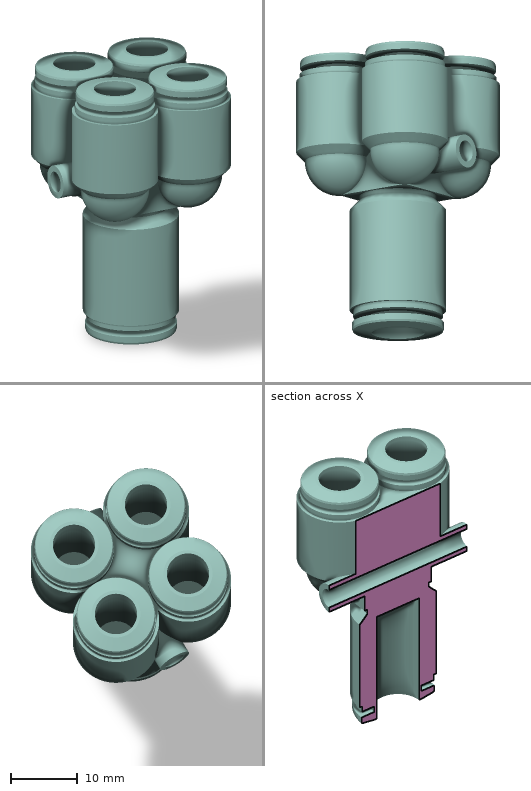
import cadquery as cq

total_height = 42.0
port_pitch = 12.5
port_offset = port_pitch / 2
block_bottom = 21.0

rim_height = 0.35
bevel_height = 0.65
collar_height = 1.55
ring_height = 2.48
body_end_height = 3.5
bevel_width = 0.13

small_bore_dia = 6.35
small_neck_dia = 7.35
small_collar_dia = 11.8
small_ring_dia = 12.0
small_body_dia = 12.98
dome_radius = 5.2
dome_center = block_bottom + dome_radius
small_body_bottom = dome_center + small_body_dia / 2 - dome_radius

large_bore_dia = 7.95
large_neck_dia = 8.95
large_collar_dia = 13.8
large_ring_dia = 13.5
large_body_dia = 14.5
throat_dia = 11.6
throat_height = 0.67
large_cone_top = block_bottom - throat_height
large_body_top = large_cone_top - (large_body_dia - throat_dia) / 2

eye_dia = 5.0
eye_hole_dia = 3.2
eye_length = 26.0


def tube_end(bore_dia, neck_dia, collar_dia, ring_dia, body_dia):
    """Radius and height points of a release collar end, from its face to the body."""
    collar_radius = collar_dia / 2
    return [
        (bore_dia / 2, 0),
        (neck_dia / 2, 0),
        (collar_radius - bevel_width, rim_height),
        (collar_radius, bevel_height),
        (collar_radius, collar_height),
        (neck_dia / 2, collar_height),
        (neck_dia / 2, ring_height),
        (ring_dia / 2, ring_height),
        (ring_dia / 2, body_end_height),
        (body_dia / 2, body_end_height),
    ]


def revolve_about_z(profile):
    return profile.close().revolve(360, (0, 0, 0), (0, 1, 0))


def large_port():
    end = tube_end(large_bore_dia, large_neck_dia, large_collar_dia, large_ring_dia, large_body_dia)
    profile = (
        cq.Workplane("XZ")
        .polyline(end)
        .lineTo(large_body_dia / 2, large_body_top)
        .lineTo(throat_dia / 2, large_cone_top)
        .lineTo(throat_dia / 2, block_bottom)
        .lineTo(0, block_bottom)
        .lineTo(0, large_body_top)
        .lineTo(large_bore_dia / 2, large_body_top)
    )
    return revolve_about_z(profile)


def small_port():
    """Solid port with a domed bottom; its bore is cut after the ports are joined."""
    end = tube_end(small_bore_dia, small_neck_dia, small_collar_dia, small_ring_dia, small_body_dia)
    end_from_top = [(radius, total_height - height) for radius, height in end]
    dome_diagonal = dome_radius * 0.5**0.5
    profile = (
        cq.Workplane("XZ")
        .polyline(end_from_top)
        .lineTo(small_body_dia / 2, small_body_bottom)
        .lineTo(dome_radius, dome_center)
        .threePointArc((dome_diagonal, dome_center - dome_diagonal), (0, block_bottom))
        .lineTo(0, total_height)
    )
    return revolve_about_z(profile)


def center_block():
    """Square block joining the ports, its corners on the small port axes."""
    block_height = total_height - body_end_height - block_bottom
    return (
        cq.Workplane("XY", origin=(0, 0, block_bottom))
        .rect(port_pitch, port_pitch)
        .extrude(block_height)
    )


def small_bores():
    return (
        cq.Workplane("XY", origin=(0, 0, small_body_bottom))
        .rarray(port_pitch, port_pitch, 2, 2)
        .circle(small_bore_dia / 2)
        .extrude(total_height - small_body_bottom)
    )


def eye_cylinder(diameter):
    return (
        cq.Workplane("XZ", origin=(0, 0, dome_center))
        .circle(diameter / 2)
        .extrude(eye_length / 2, both=True)
    )


result = center_block().union(large_port())
for x_side in (-1, 1):
    for y_side in (-1, 1):
        port = small_port().translate((x_side * port_offset, y_side * port_offset, 0))
        result = result.union(port)
result = result.cut(small_bores())

result = result.union(eye_cylinder(eye_dia)).cut(eye_cylinder(eye_hole_dia))